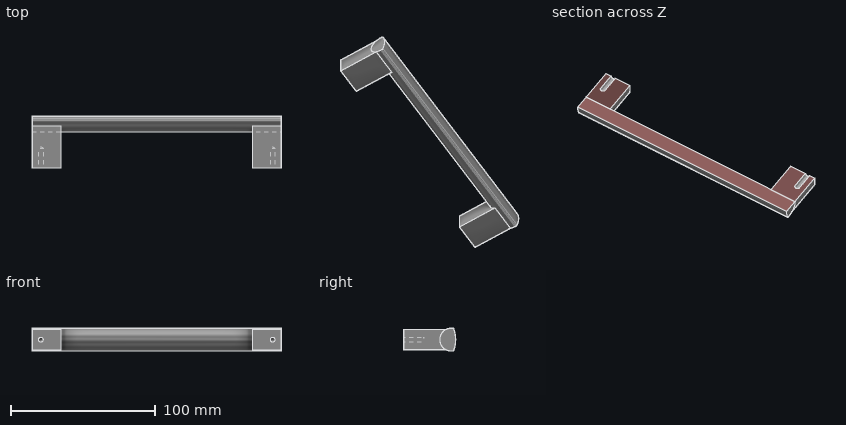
import cadquery as cq
import math

length = 172.0
depth = 36.0

bar_height = 16.0
bar_radius = bar_height / 2
bar_depth = 11.0
crown_rise = 1.5
corner_radius = 0.9

leg_width = 20.0
leg_height = 14.1

hole_diameter = 3.3
hole_depth = 13.8
hole_inset = 6.0
tip_angle = 118.0

bar_axis_y = depth - bar_depth + bar_radius
corner_y = depth - crown_rise
hole_radius = hole_diameter / 2
tip_length = hole_radius / math.tan(math.radians(tip_angle / 2))


def make_bar():
    """Extrude the grip profile along X and round its two long back edges."""
    bar = (
        cq.Workplane("YZ", origin=(-length / 2, 0, 0))
        .moveTo(corner_y, -bar_radius)
        .threePointArc((depth, 0), (corner_y, bar_radius))
        .lineTo(bar_axis_y, bar_radius)
        .threePointArc((depth - bar_depth, 0), (bar_axis_y, -bar_radius))
        .close()
        .extrude(length)
    )
    return bar.edges("|X").edges(">Y").fillet(corner_radius)


def make_screw_hole(x):
    """Drill shape entering the foot of a leg along +Y."""
    profile = (
        cq.Workplane("XY", origin=(x, 0, 0))
        .polyline([(0, 0), (hole_radius, 0), (hole_radius, hole_depth), (0, hole_depth + tip_length)])
        .close()
    )
    return profile.revolve(360, (0, 0), (0, 1))


def make_leg(side, bar):
    """Leg at one end of the bar (side is -1 or 1), with a seat shaped to the bar."""
    block = cq.Workplane("XY").box(leg_width, bar_axis_y, leg_height, centered=(True, False, True))
    block = block.translate((side * (length - leg_width) / 2, 0, 0))
    hole = make_screw_hole(side * (length / 2 - hole_inset))
    return block.cut(bar).cut(hole)


bar = make_bar()
legs = [make_leg(side, bar) for side in (-1, 1)]

result = cq.Compound.makeCompound([bar.val()] + [leg.val() for leg in legs])